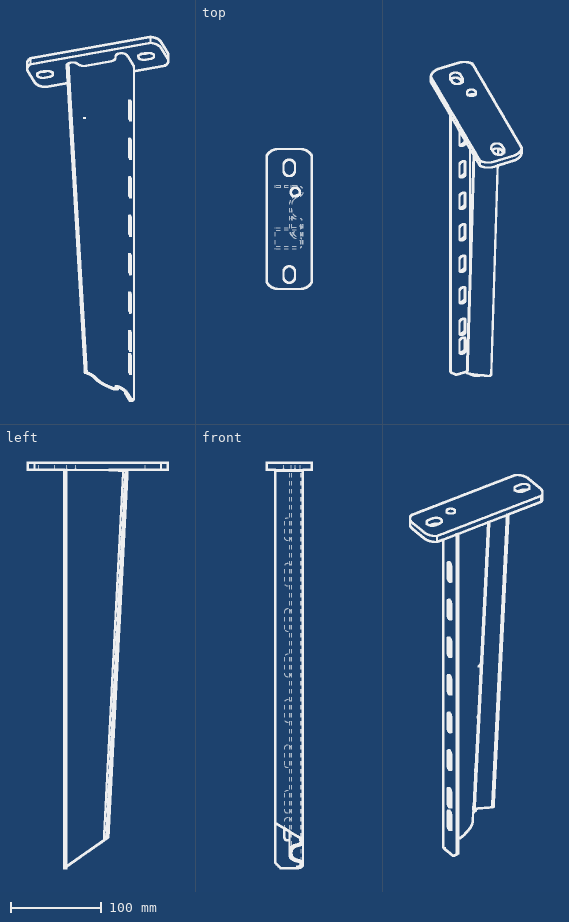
import cadquery as cq
import math

TOTAL_HEIGHT = 448.0

PLATE_WIDTH = 50.0
PLATE_LENGTH = 155.0
PLATE_THICKNESS = 8.0
PLATE_END_RADIUS = 15.2
PLATE_END_FLAT = 23.7
MOUNT_SLOT_WIDTH = 12.5
MOUNT_SLOT_LENGTH = 18.0
MOUNT_SLOT_BACK_Y = 56.5
MOUNT_SLOT_FRONT_Y = -61.5
DRAIN_HOLE_DIAMETER = 10.0
DRAIN_HOLE_X = 6.5
DRAIN_HOLE_Y = 29.5

SHEET = 2.5
COLUMN_LEFT_X = -15.5
COLUMN_BACK_Y = 37.0
COLUMN_TOP_DEPTH = 70.5
TAPER_ANGLE = 3.0
FLANGE_FLAT = 24.0
WIDE_BEND_RADIUS = 4.5
WIDE_BEND_ANGLE = 65.0
TIGHT_BEND_RADIUS = 3.75
RIB_RADIUS = 10.8
RIB_ANGLE = 70.0
RIB_WALL = 3.35

COLUMN_SLOT_WIDTH = 7.0
COLUMN_SLOT_LENGTH = 25.0
COLUMN_SLOT_X = -2.0
COLUMN_SLOT_PITCH = 50.0
COLUMN_SLOT_COUNT = 7
TOP_SLOT_Z = 374.5
LOWEST_SLOT_Z = 43.5

END_CUT_SLOPE = 0.7
FRONT_CUT_HEIGHT = 50.0
FRONT_CUT_ANGLE = 31.0
BACK_CORNER_CHAMFER = 6.3

COLUMN_HEIGHT = TOTAL_HEIGHT - PLATE_THICKNESS
TAPER = math.tan(math.radians(TAPER_ANGLE))


def make_plate():
    half_width = PLATE_WIDTH / 2
    half_length = PLATE_LENGTH / 2
    half_flat = PLATE_END_FLAT / 2
    corner_x = half_width - half_flat

    def corner_drop(distance):
        return PLATE_END_RADIUS - math.sqrt(PLATE_END_RADIUS**2 - distance**2)

    side_y = half_length - corner_drop(corner_x)
    middle_x = half_flat + corner_x / 2
    middle_y = half_length - corner_drop(corner_x / 2)
    plate = (
        cq.Workplane("XY", origin=(0, 0, COLUMN_HEIGHT))
        .moveTo(half_flat, half_length)
        .threePointArc((middle_x, middle_y), (half_width, side_y))
        .lineTo(half_width, -side_y)
        .threePointArc((middle_x, -middle_y), (half_flat, -half_length))
        .lineTo(-half_flat, -half_length)
        .threePointArc((-middle_x, -middle_y), (-half_width, -side_y))
        .lineTo(-half_width, side_y)
        .threePointArc((-middle_x, middle_y), (-half_flat, half_length))
        .close()
        .extrude(PLATE_THICKNESS)
    )
    slots = (
        cq.Workplane("XY", origin=(0, 0, COLUMN_HEIGHT))
        .pushPoints([(0, MOUNT_SLOT_BACK_Y), (0, MOUNT_SLOT_FRONT_Y)])
        .slot2D(MOUNT_SLOT_LENGTH, MOUNT_SLOT_WIDTH, 90)
        .extrude(PLATE_THICKNESS)
    )
    hole = (
        cq.Workplane("XY", origin=(DRAIN_HOLE_X, DRAIN_HOLE_Y, COLUMN_HEIGHT))
        .circle(DRAIN_HOLE_DIAMETER / 2)
        .extrude(PLATE_THICKNESS)
    )
    return plate.cut(slots).cut(hole)


def half_side(offset):
    """Edges of one side of half a section, from the flange's free edge to the end of the rib.

    `offset` is the distance inward from the outer face of the sheet. Each entry is
    (middle point, end point), with no middle point for a straight stretch; the first entry is the
    start. X is the column's X, and Y falls from 0 at the outer face of the flange.
    """
    wide_bend = WIDE_BEND_RADIUS + SHEET - offset
    tight_bend = TIGHT_BEND_RADIUS + SHEET - offset
    rib = RIB_RADIUS - SHEET + offset
    steps = [
        (None, FLANGE_FLAT),
        (-wide_bend, WIDE_BEND_ANGLE),
        (-tight_bend, 90 + RIB_ANGLE - WIDE_BEND_ANGLE),
        (None, RIB_WALL),
        (rib, RIB_ANGLE),
    ]
    x = COLUMN_LEFT_X
    y = -offset
    heading = 0.0
    edges = [(None, (x, y))]
    for radius, amount in steps:
        middle_point = None
        if radius is None:
            x += amount * math.cos(heading)
            y += amount * math.sin(heading)
        else:
            centre_x = x - radius * math.sin(heading)
            centre_y = y + radius * math.cos(heading)
            turn = math.copysign(math.radians(amount), radius)
            middle = heading + turn / 2
            heading += turn
            middle_point = (centre_x + radius * math.sin(middle), centre_y - radius * math.cos(middle))
            x = centre_x + radius * math.sin(heading)
            y = centre_y - radius * math.cos(heading)
        edges.append((middle_point, (x, y)))
    return edges


def column_depth(z):
    """Outside depth of the tapered column at height z."""
    return COLUMN_TOP_DEPTH - TAPER * (COLUMN_HEIGHT - z)


def section_wire(z):
    """Closed outline of the channel at height z."""
    depth = column_depth(z)

    def back(point):
        return cq.Vector(point[0], COLUMN_BACK_Y + point[1], z)

    def front(point):
        return cq.Vector(point[0], COLUMN_BACK_Y - depth - point[1], z)

    def trace(edges, place):
        made = []
        for (_, start), (middle, end) in zip(edges, edges[1:]):
            if middle is None:
                made.append(cq.Edge.makeLine(place(start), place(end)))
            else:
                made.append(cq.Edge.makeThreePointArc(place(start), place(middle), place(end)))
        return made

    edges = []
    for offset in (0, SHEET):
        half = half_side(offset)
        edges += trace(half, back)
        edges.append(cq.Edge.makeLine(back(half[-1][1]), front(half[-1][1])))
        edges += trace(half, front)
    outer_start = half_side(0)[0][1]
    inner_start = half_side(SHEET)[0][1]
    for place in (back, front):
        edges.append(cq.Edge.makeLine(place(outer_start), place(inner_start)))
    return cq.Wire.assembleEdges(edges)


def make_slots():
    """Row of evenly spaced slots in the back flange, plus one more close to the lower end."""
    heights = [TOP_SLOT_Z - COLUMN_SLOT_PITCH * i for i in range(COLUMN_SLOT_COUNT)]
    heights.append(LOWEST_SLOT_Z)
    return (
        cq.Workplane("XZ", origin=(COLUMN_SLOT_X, COLUMN_BACK_Y, 0))
        .pushPoints([(0, z) for z in heights])
        .slot2D(COLUMN_SLOT_LENGTH, COLUMN_SLOT_WIDTH, 90)
        .extrude(SHEET)
    )


def make_end_cut():
    """Wedge that slopes the lower end up toward the front, sparing the flat of the back flange."""
    reach = 2 * COLUMN_TOP_DEPTH
    wedge = (
        cq.Workplane("YZ", origin=(-reach / 2, COLUMN_BACK_Y, 0))
        .polyline([(0, 0), (-reach, reach * END_CUT_SLOPE), (-reach, 0)])
        .close()
        .extrude(reach)
    )
    flange = (
        cq.Workplane("XY", origin=(COLUMN_LEFT_X, COLUMN_BACK_Y - SHEET, 0))
        .rect(FLANGE_FLAT, SHEET, centered=False)
        .extrude(COLUMN_HEIGHT)
    )
    return wedge.cut(flange)


def make_top_cut():
    """Thin wedge that leaves the tilted front fold's upper end square to its tilt."""
    front_y = COLUMN_BACK_Y - COLUMN_TOP_DEPTH
    rib_depth = -half_side(SHEET)[-1][1][1]
    return (
        cq.Workplane("YZ", origin=(-COLUMN_TOP_DEPTH / 2, front_y, COLUMN_HEIGHT))
        .polyline([(rib_depth, 0), (-SHEET, 0), (-SHEET, -(rib_depth + SHEET) * TAPER)])
        .close()
        .extrude(COLUMN_TOP_DEPTH)
    )


def make_front_cut():
    """Wedge under the front flange, rising toward its free edge."""
    run = FRONT_CUT_HEIGHT / math.tan(math.radians(FRONT_CUT_ANGLE))
    back_y = COLUMN_BACK_Y - column_depth(FRONT_CUT_HEIGHT) + 2 * SHEET
    return (
        cq.Workplane("XZ", origin=(COLUMN_LEFT_X, back_y, 0))
        .polyline([(0, 0), (0, FRONT_CUT_HEIGHT), (run, 0)])
        .close()
        .extrude(COLUMN_TOP_DEPTH)
    )


def make_corner_cut():
    """Triangle that chamfers the lower free corner of the back flange."""
    return (
        cq.Workplane("XZ", origin=(COLUMN_LEFT_X, COLUMN_BACK_Y, 0))
        .polyline([(0, 0), (BACK_CORNER_CHAMFER, 0), (0, BACK_CORNER_CHAMFER)])
        .close()
        .extrude(SHEET)
    )


def make_column():
    channel = cq.Workplane(cq.Solid.makeLoft([section_wire(0), section_wire(COLUMN_HEIGHT)], True))
    for cutter in (make_slots(), make_end_cut(), make_top_cut(), make_front_cut(), make_corner_cut()):
        channel = channel.cut(cutter)
    return channel


plate = make_plate()
column = make_column()
result = cq.Compound.makeCompound([plate.val(), column.val()])